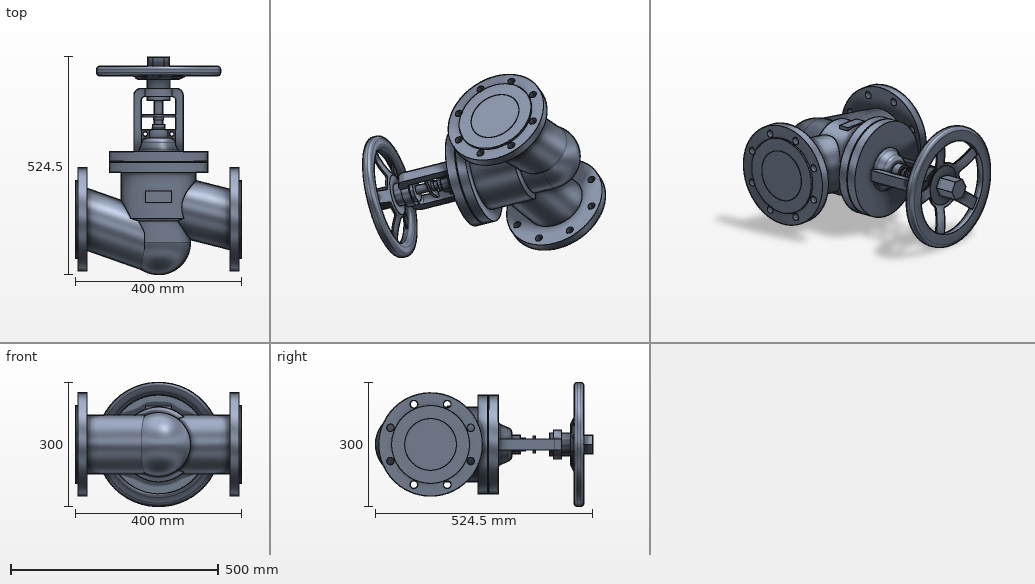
import cadquery as cq
import math

OVERALL_HEIGHT = 524.5
FACE_TO_FACE = 400.0

FLANGE_RADIUS = 125.0
FLANGE_THICKNESS = 22.5
RAISED_FACE_RADIUS = 94.0
RAISED_FACE_HEIGHT = 5.0
BORE_RADIUS = 62.5
BORE_RECESS = 0.5
BOLT_CIRCLE_RADIUS = 105.0
BOLT_HOLE_RADIUS = 9.0
BOLT_COUNT = 8
FLANGE_BACK_X = FACE_TO_FACE / 2 - RAISED_FACE_HEIGHT - FLANGE_THICKNESS

PIPE_RADIUS = 71.0
INLET_ANGLE = 19.4
OUTLET_ANGLE = 14.2
INLET_END_X = -34.0
OUTLET_END_X = 26.0

NECK_RADIUS = 77.0
BOWL_CENTER_Y = -56.0
SHOULDER_BOTTOM_Y = -3.0
SHOULDER_TOP_Y = 2.5
CHAMBER_RADIUS = 90.0
BOTTOM_Y = BOWL_CENTER_Y - NECK_RADIUS

BONNET_FLANGE_RADIUS = 119.0
BONNET_FLANGE_THICKNESS = 23.5
GASKET_RADIUS = 85.0
GASKET_THICKNESS = 2.5
LOWER_FLANGE_Y = 114.0
GASKET_Y = LOWER_FLANGE_Y + BONNET_FLANGE_THICKNESS
UPPER_FLANGE_Y = GASKET_Y + GASKET_THICKNESS
BONNET_TOP_Y = UPPER_FLANGE_Y + BONNET_FLANGE_THICKNESS

DOME_FOOT_RADIUS = 54.0
DOME_FOOT_MID = (50.5, 2.0)
DOME_CONE_START = (48.5, 5.0)
DOME_CONE_END = (41.0, 21.5)
DOME_CROWN_MID = (36.5, 29.0)
DOME_TOP_RADIUS = 27.5
DOME_HEIGHT = 32.5

BOX_RADIUS = 22.5
BOX_TOP_Y = 216.5
GLAND_RADIUS = 15.0
GLAND_FOOT_RADIUS = 16.0
GLAND_FOOT_HEIGHT = 3.5
GLAND_TOP_Y = 229.5
STEM_RADIUS = 10.5
COLLAR_RADIUS = 12.0
COLLAR_BOTTOM_Y = 240.0

GUIDE_BOTTOM_Y = 246.5
GUIDE_THICKNESS = 6.5
GUIDE_HUB_RADIUS = 21.0
GUIDE_HALF_LENGTH = 41.0
GUIDE_END_RADIUS = 9.5

YOKE_HALF_WIDTH = 60.0
YOKE_ARM_THICKNESS = 18.5
YOKE_DEPTH = 27.5
YOKE_OUTER_FILLET = 18.0
YOKE_INNER_FILLET = 9.0
YOKE_TOP_Y = 316.5
BOSS_RADIUS = 35.0
BOSS_HEIGHT = 20.0
SLEEVE_RADIUS = 28.0
SLEEVE_BOTTOM_Y = 287.5
YOKE_INNER_HALF_WIDTH = YOKE_HALF_WIDTH - YOKE_ARM_THICKNESS
BOSS_BOTTOM_Y = YOKE_TOP_Y - BOSS_HEIGHT

WEB_THICKNESS = 8.0
WEB_HOLE_RADIUS = 5.0
WEB_HOLE_X = 32.0
WEB_HOLE_Y = 206.0

WHEEL_RADIUS = 150.0
RIM_THICKNESS = 23.5
RIM_INNER_RADIUS = 116.0
RIM_OUTER_FILLET = 8.5
RIM_INNER_FILLET = 12.0
RIM_BOTTOM_Y = 346.5
HUB_FACE_RADIUS = 49.5
HUB_FACE_Y = 338.0
HUB_RADIUS = 56.0
SPOKE_COUNT = 5
SPOKE_WIDTH = 30.5
SPOKE_THICKNESS = 4.0
SPOKE_ROOT_FILLET = 6.5
SPOKE_MID = (66.5, 346.5)
SPOKE_END = (126.0, 360.0)
RIM_TOP_Y = RIM_BOTTOM_Y + RIM_THICKNESS

NUT_SIDES = 6
NUT_ACROSS_CORNERS = 52.5
NUT_TOP_Y = BOTTOM_Y + OVERALL_HEIGHT

PAD_LENGTH = 62.5
PAD_WIDTH = 27.5
PAD_CENTER_Y = 54.5
PAD_TOP_Z = 93.0


def disc(radius, bottom_y, top_y):
    """Cylinder on the stem axis."""
    return cq.Workplane("XZ", origin=(0, top_y, 0)).circle(radius).extrude(top_y - bottom_y)


def about_stem(profile):
    """Revolve a profile drawn in radius and height about the stem axis."""
    return profile.revolve(360, (0, 0, 0), (0, 1, 0))


def pipe(side, angle, end_x):
    """Sloping pipe centred on a flange back face, cut square to X there and at end_x."""
    length = 2 * FACE_TO_FACE
    slope = math.radians(angle)
    direction = cq.Vector(-side * math.cos(slope), side * math.sin(slope), 0)
    flange_x = side * FLANGE_BACK_X
    start = cq.Vector(flange_x, 0, 0) - direction * (length / 2)
    cylinder = cq.Solid.makeCylinder(PIPE_RADIUS, length, start, direction)
    trim = (
        cq.Workplane("XY")
        .box(abs(flange_x - end_x), OVERALL_HEIGHT, OVERALL_HEIGHT)
        .translate(((flange_x + end_x) / 2, 0, 0))
    )
    return cq.Workplane(cylinder).intersect(trim)


def pipe_flange():
    """Flange at the +X end with raised face, bolt holes and bore recess."""
    flange = (
        cq.Workplane("YZ", origin=(FLANGE_BACK_X, 0, 0))
        .circle(FLANGE_RADIUS)
        .extrude(FLANGE_THICKNESS)
        .faces(">X")
        .workplane()
        .circle(RAISED_FACE_RADIUS)
        .extrude(RAISED_FACE_HEIGHT)
    )
    bolt_holes = (
        cq.Workplane("YZ", origin=(FLANGE_BACK_X, 0, 0))
        .polarArray(BOLT_CIRCLE_RADIUS, 180 / BOLT_COUNT, 360, BOLT_COUNT)
        .circle(BOLT_HOLE_RADIUS)
        .extrude(FLANGE_THICKNESS + RAISED_FACE_HEIGHT)
    )
    recess = cq.Workplane("YZ", origin=(FACE_TO_FACE / 2, 0, 0)).circle(BORE_RADIUS).extrude(-BORE_RECESS)
    return flange.cut(bolt_holes).cut(recess)


def body():
    chamber = about_stem(
        cq.Workplane("XY")
        .moveTo(0, BOTTOM_Y)
        .radiusArc((NECK_RADIUS, BOWL_CENTER_Y), -NECK_RADIUS)
        .lineTo(NECK_RADIUS, SHOULDER_BOTTOM_Y)
        .lineTo(CHAMBER_RADIUS, SHOULDER_TOP_Y)
        .lineTo(CHAMBER_RADIUS, LOWER_FLANGE_Y)
        .lineTo(0, LOWER_FLANGE_Y)
        .close()
    )
    pad = (
        cq.Workplane("XY")
        .center(0, PAD_CENTER_Y)
        .rect(PAD_LENGTH, PAD_WIDTH)
        .extrude(PAD_TOP_Z)
    )
    outlet_flange = pipe_flange()
    inlet_flange = outlet_flange.mirror("YZ")
    return (
        chamber.union(pad)
        .union(pipe(-1, INLET_ANGLE, INLET_END_X))
        .union(pipe(1, OUTLET_ANGLE, OUTLET_END_X))
        .union(outlet_flange)
        .union(inlet_flange)
    )


def bonnet():
    def on_dome(point):
        return (point[0], BONNET_TOP_Y + point[1])

    dome = about_stem(
        cq.Workplane("XY")
        .moveTo(0, BONNET_TOP_Y)
        .lineTo(DOME_FOOT_RADIUS, BONNET_TOP_Y)
        .threePointArc(on_dome(DOME_FOOT_MID), on_dome(DOME_CONE_START))
        .lineTo(*on_dome(DOME_CONE_END))
        .threePointArc(on_dome(DOME_CROWN_MID), on_dome((DOME_TOP_RADIUS, DOME_HEIGHT)))
        .lineTo(0, BONNET_TOP_Y + DOME_HEIGHT)
        .close()
    )
    return (
        disc(BONNET_FLANGE_RADIUS, LOWER_FLANGE_Y, GASKET_Y)
        .union(disc(GASKET_RADIUS, GASKET_Y, UPPER_FLANGE_Y))
        .union(disc(BONNET_FLANGE_RADIUS, UPPER_FLANGE_Y, BONNET_TOP_Y))
        .union(dome)
        .union(disc(BOX_RADIUS, BONNET_TOP_Y, BOX_TOP_Y))
    )


def guide_plate():
    """Plate with a round hub, tangent sides and rounded ends."""
    end_center_x = GUIDE_HALF_LENGTH - GUIDE_END_RADIUS
    lean = math.asin((GUIDE_HUB_RADIUS - GUIDE_END_RADIUS) / end_center_x)
    hub_tangent = (GUIDE_HUB_RADIUS * math.sin(lean), GUIDE_HUB_RADIUS * math.cos(lean))
    end_tangent = (
        end_center_x + GUIDE_END_RADIUS * math.sin(lean),
        GUIDE_END_RADIUS * math.cos(lean),
    )
    return (
        cq.Workplane("XZ", origin=(0, GUIDE_BOTTOM_Y + GUIDE_THICKNESS, 0))
        .moveTo(-hub_tangent[0], hub_tangent[1])
        .threePointArc((0, GUIDE_HUB_RADIUS), hub_tangent)
        .lineTo(*end_tangent)
        .threePointArc((GUIDE_HALF_LENGTH, 0), (end_tangent[0], -end_tangent[1]))
        .lineTo(hub_tangent[0], -hub_tangent[1])
        .threePointArc((0, -GUIDE_HUB_RADIUS), (-hub_tangent[0], -hub_tangent[1]))
        .lineTo(-end_tangent[0], -end_tangent[1])
        .threePointArc((-GUIDE_HALF_LENGTH, 0), (-end_tangent[0], end_tangent[1]))
        .close()
        .extrude(GUIDE_THICKNESS)
    )


def stem():
    gland_foot_top = BOX_TOP_Y + GLAND_FOOT_HEIGHT
    return (
        disc(STEM_RADIUS, BOX_TOP_Y, SLEEVE_BOTTOM_Y)
        .union(disc(GLAND_FOOT_RADIUS, BOX_TOP_Y, gland_foot_top))
        .union(disc(GLAND_RADIUS, gland_foot_top, GLAND_TOP_Y))
        .union(disc(COLLAR_RADIUS, COLLAR_BOTTOM_Y, GUIDE_BOTTOM_Y))
        .union(guide_plate())
    )


def yoke():
    def arch(half_width, top_y, fillet):
        height = top_y - BONNET_TOP_Y
        return (
            cq.Workplane("XY")
            .box(2 * half_width, height, YOKE_DEPTH)
            .translate((0, BONNET_TOP_Y + height / 2, 0))
            .edges("|Z and >Y")
            .fillet(fillet)
        )

    web = (
        cq.Workplane("XY", origin=(0, 0, -WEB_THICKNESS / 2))
        .moveTo(-YOKE_INNER_HALF_WIDTH, BONNET_TOP_Y)
        .lineTo(YOKE_INNER_HALF_WIDTH, BONNET_TOP_Y)
        .lineTo(YOKE_INNER_HALF_WIDTH, BOX_TOP_Y)
        .lineTo(-YOKE_INNER_HALF_WIDTH, BOX_TOP_Y)
        .close()
        .pushPoints([(-WEB_HOLE_X, WEB_HOLE_Y), (WEB_HOLE_X, WEB_HOLE_Y)])
        .circle(WEB_HOLE_RADIUS)
        .extrude(WEB_THICKNESS)
    )
    return (
        arch(YOKE_HALF_WIDTH, YOKE_TOP_Y, YOKE_OUTER_FILLET)
        .cut(arch(YOKE_INNER_HALF_WIDTH, BOSS_BOTTOM_Y, YOKE_INNER_FILLET))
        .union(web)
        .union(disc(BOSS_RADIUS, BOSS_BOTTOM_Y, YOKE_TOP_Y))
        .union(disc(SLEEVE_RADIUS, SLEEVE_BOTTOM_Y, HUB_FACE_Y))
    )


def handwheel():
    rim = about_stem(
        cq.Workplane("XY")
        .moveTo(RIM_INNER_RADIUS + RIM_INNER_FILLET, RIM_BOTTOM_Y)
        .lineTo(WHEEL_RADIUS - RIM_OUTER_FILLET, RIM_BOTTOM_Y)
        .radiusArc((WHEEL_RADIUS, RIM_BOTTOM_Y + RIM_OUTER_FILLET), -RIM_OUTER_FILLET)
        .lineTo(WHEEL_RADIUS, RIM_TOP_Y - RIM_OUTER_FILLET)
        .radiusArc((WHEEL_RADIUS - RIM_OUTER_FILLET, RIM_TOP_Y), -RIM_OUTER_FILLET)
        .lineTo(RIM_INNER_RADIUS, RIM_TOP_Y)
        .lineTo(RIM_INNER_RADIUS, RIM_BOTTOM_Y + RIM_INNER_FILLET)
        .radiusArc((RIM_INNER_RADIUS + RIM_INNER_FILLET, RIM_BOTTOM_Y), -RIM_INNER_FILLET)
        .close()
    )

    def raised(point):
        return (point[0], point[1] + SPOKE_THICKNESS)

    hub_edge = (HUB_FACE_RADIUS, HUB_FACE_Y)
    dished_shell = about_stem(
        cq.Workplane("XY")
        .moveTo(0, HUB_FACE_Y)
        .lineTo(*hub_edge)
        .threePointArc(SPOKE_MID, SPOKE_END)
        .lineTo(*raised(SPOKE_END))
        .threePointArc(raised(SPOKE_MID), raised(hub_edge))
        .lineTo(0, HUB_FACE_Y + SPOKE_THICKNESS)
        .close()
    )

    star = disc(HUB_RADIUS, HUB_FACE_Y, RIM_TOP_Y)
    spoke = (
        cq.Workplane("XZ", origin=(0, RIM_TOP_Y, 0))
        .center(SPOKE_END[0] / 2, 0)
        .rect(SPOKE_END[0], SPOKE_WIDTH)
        .extrude(RIM_TOP_Y - HUB_FACE_Y)
    )
    for index in range(SPOKE_COUNT):
        star = star.union(spoke.rotate((0, 0, 0), (0, 1, 0), index * 360 / SPOKE_COUNT))
    root_reach = (HUB_RADIUS + RIM_INNER_RADIUS) / 2
    root_zone = cq.selectors.BoxSelector(
        (-root_reach, HUB_FACE_Y, -root_reach), (root_reach, RIM_TOP_Y, root_reach)
    )
    star = star.edges("|Y").edges(root_zone).fillet(SPOKE_ROOT_FILLET)
    return rim.union(star.intersect(dished_shell))


def stem_nut():
    return (
        cq.Workplane("XZ", origin=(0, NUT_TOP_Y, 0))
        .polygon(NUT_SIDES, NUT_ACROSS_CORNERS)
        .extrude(NUT_TOP_Y - HUB_FACE_Y)
    )


result = body()
for section in (bonnet(), yoke(), stem(), handwheel(), stem_nut()):
    result = result.union(section)